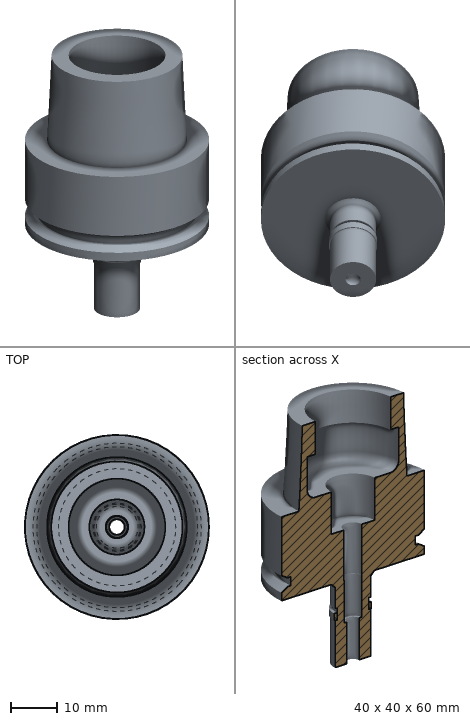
import cadquery as cq

total_height = 60.0
flange_bottom = total_height / 3
taper_bottom = 2 * total_height / 3

flange_radius = total_height / 3
taper_base_radius = 15.2
taper_top_radius = 14.2

rim_height = 2.0
grip_bevel_height = 1.0
grip_bevel_width = 1.75
grip_groove_top = flange_bottom + 6.0
grip_groove_radius = 17.45

tail_radius = total_height / 12
tail_bevel = 1.0

ring_projection = 0.25
ring_radius = tail_radius + ring_projection
ring_height = 1.7
ring_groove_depth = 0.5
ring_groove_radius = tail_radius - ring_groove_depth
ring_groove_top = flange_bottom - 6.0
ring_groove_height = 2.7
ring_bottom = ring_groove_top - ring_groove_height

mouth_radius = 10.5
mouth_depth = 7.85
undercut_radius = 12.7
undercut_depth = 15.7
undercut_fillet = undercut_radius - mouth_radius
floor_height = total_height - undercut_depth - undercut_fillet
pocket_radius = 6.0
pocket_depth = 10.0
screw_hole_radius = 2.45
lower_hole_radius = 2.35
tail_hole_radius = 1.65
tail_hole_depth = 10.0


def cylinder(radius, bottom, top):
    """Cylinder on the Z axis between two heights."""
    return cq.Workplane("XY").workplane(offset=bottom).circle(radius).extrude(top - bottom)


def revolve_outline(points):
    """Turn a closed (radius, height) outline around the Z axis."""
    return cq.Workplane("XZ").polyline(points).close().revolve(360, (0, 0), (0, 1))


def make_holder_blank():
    """Tail, bevelled flange with its grip groove, and upper taper."""
    bevel_radius = flange_radius - grip_bevel_width
    rim_top = flange_bottom + rim_height
    groove_bottom = rim_top + grip_bevel_height
    groove_ceiling = grip_groove_top - grip_bevel_height
    return revolve_outline([
        (0, 0),
        (tail_radius, 0),
        (tail_radius, flange_bottom - tail_bevel),
        (tail_radius + tail_bevel, flange_bottom),
        (flange_radius, flange_bottom),
        (flange_radius, rim_top),
        (bevel_radius, groove_bottom),
        (grip_groove_radius, groove_bottom),
        (grip_groove_radius, groove_ceiling),
        (bevel_radius, groove_ceiling),
        (flange_radius, grip_groove_top),
        (flange_radius, taper_bottom),
        (taper_base_radius, taper_bottom),
        (taper_top_radius, total_height),
        (0, total_height),
    ])


def make_bore():
    """Mouth, undercut with a filleted foot, floor pocket and through hole."""
    undercut_top = total_height - mouth_depth
    pocket_bottom = floor_height - pocket_depth
    through_hole = revolve_outline([
        (0, 0),
        (tail_hole_radius, 0),
        (tail_hole_radius, tail_hole_depth),
        (lower_hole_radius, tail_hole_depth),
        (lower_hole_radius, flange_bottom),
        (screw_hole_radius, flange_bottom),
        (screw_hole_radius, pocket_bottom),
        (0, pocket_bottom),
    ])
    pocket = cylinder(pocket_radius, pocket_bottom, floor_height)
    undercut = cylinder(undercut_radius, floor_height, undercut_top)
    undercut = undercut.faces("<Z").edges().fillet(undercut_fillet)
    mouth = cylinder(mouth_radius, undercut_top, total_height)
    return through_hole.union(pocket).union(undercut).union(mouth)


def make_sleeve(outer_radius, bottom, height):
    """Ring of material from the ring groove floor out to a radius."""
    outside = cylinder(outer_radius, bottom, bottom + height)
    return outside.cut(cylinder(ring_groove_radius, bottom, bottom + height))


def make_holder():
    """Holder with its bore and ring groove cut."""
    ring_groove = make_sleeve(ring_radius, ring_bottom, ring_groove_height)
    return make_holder_blank().cut(make_bore()).cut(ring_groove)


def make_retaining_ring():
    """Ring resting on the lower side of the tail groove, standing slightly proud."""
    return make_sleeve(ring_radius, ring_bottom, ring_height)


holder = make_holder()
retaining_ring = make_retaining_ring()

result = cq.Compound.makeCompound([holder.val(), retaining_ring.val()])